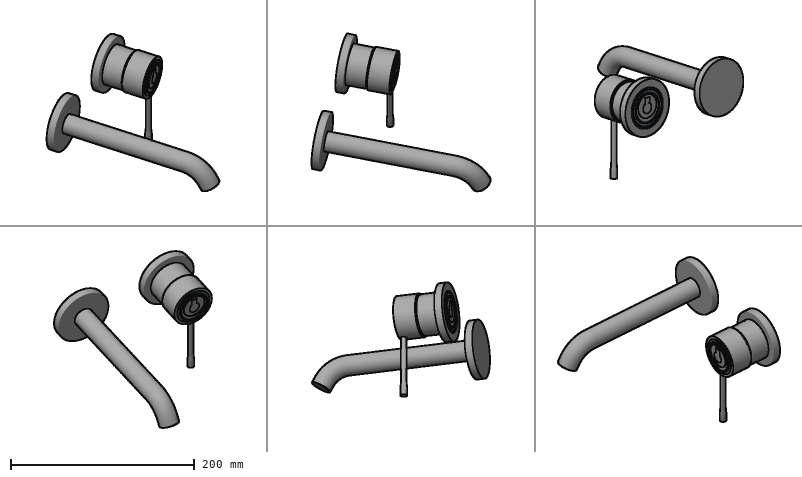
import cadquery as cq
import math


OVERALL_X = 192.5
OVERALL_Z = 124.5
SPOUT_SPACING = 110.0

FLANGE_DIAMETER = 65.0
FLANGE_THICKNESS = 8.9
FLANGE_EDGE = 0.5

SLEEVE_BACK_RADIUS = 23.3
SLEEVE_FRONT_RADIUS = 23.1
SLEEVE_BORE_RADIUS = 21.4
SLEEVE_NECK_RADIUS = 22.3
SLEEVE_TAPER_END = 30.5
SLEEVE_EDGE = 0.4
NECK_START = 32.0

CAP_RADIUS = 24.3
CAP_BACK = 33.3
CAP_FRONT = 58.3
CAP_TUBE_RADIUS = 20.6
CAP_TUBE_FRONT = 58.9

COLLAR_RADIUS = 17.7
COLLAR_FRONT = 60.0
CARTRIDGE_RADIUS = 16.2
CORE_RADIUS = 13.5
CORE_OFFSET = 2.1
CORE_FRONT = 60.8
STEM_RADIUS = 6.2
STEM_KEY_WIDTH = 6.5
STEM_KEY_TOP = 12.0

LEVER_X = 53.5
ROD_DIAMETER = 6.4
ROD_HOLE_DIAMETER = 7.0
TIP_DIAMETER = 7.7
ROD_TOP = -CAP_TUBE_RADIUS
FLARE_TOP = -73.5
FLARE_BOTTOM = -82.2
LEVER_BOTTOM = FLANGE_DIAMETER / 2 - OVERALL_Z

SPOUT_RADIUS = 11.4
BEND_RADIUS = 31.5
BEND_ANGLE = 60.0
OUTLET_LENGTH = 7.0
OUTLET_EDGE = 0.4


def cylinder(radius, start, end, height=0.0):
    """Cylinder along X from start to end, its axis raised to the given height."""
    return cq.Workplane("YZ", origin=(start, 0, height)).circle(radius).extrude(end - start)


def flange_disk():
    """Wall disk with a rounded front edge."""
    disk = cylinder(FLANGE_DIAMETER / 2, 0, FLANGE_THICKNESS)
    return disk.faces(">X").edges().fillet(FLANGE_EDGE)


def make_flange():
    """Handle flange, bored to take the back end of the tapered sleeve."""
    return flange_disk().cut(sleeve_envelope())


def sleeve_envelope():
    """Filled outline of the sleeve: taper, bevelled end and neck up to the cap."""
    return (
        cq.Workplane("XY")
        .moveTo(0, 0)
        .lineTo(0, SLEEVE_BACK_RADIUS)
        .lineTo(SLEEVE_TAPER_END, SLEEVE_FRONT_RADIUS)
        .lineTo(NECK_START, SLEEVE_FRONT_RADIUS - SLEEVE_EDGE)
        .lineTo(NECK_START, SLEEVE_NECK_RADIUS)
        .lineTo(CAP_BACK, SLEEVE_NECK_RADIUS)
        .lineTo(CAP_BACK, 0)
        .close()
        .revolve(360, (0, 0, 0), (1, 0, 0))
    )


def make_sleeve():
    """Tapered sleeve around the tube of the cap, with a narrow gap between them."""
    return sleeve_envelope().cut(cylinder(SLEEVE_BORE_RADIUS, 0, CAP_BACK))


def make_cap():
    """Handle cap with an inner tube that runs back to the wall and a lever hole below."""
    cap = cylinder(CAP_RADIUS, CAP_BACK, CAP_FRONT)
    cap = cap.union(cylinder(CAP_TUBE_RADIUS, 0, CAP_TUBE_FRONT))
    cap = cap.cut(cylinder(COLLAR_RADIUS, 0, CAP_TUBE_FRONT))
    lever_hole = (
        cq.Workplane("XY", origin=(LEVER_X, 0, ROD_TOP))
        .circle(ROD_HOLE_DIAMETER / 2)
        .extrude(-CAP_RADIUS)
    )
    return cap.cut(lever_hole)


def make_collar():
    """Ring between the cap and the cartridge."""
    return cylinder(COLLAR_RADIUS, 0, COLLAR_FRONT).cut(cylinder(CARTRIDGE_RADIUS, 0, COLLAR_FRONT))


def core_envelope():
    """Filled outline of the core, set off upward from the handle axis."""
    return cylinder(CORE_RADIUS, 0, CORE_FRONT, CORE_OFFSET)


def make_cartridge():
    """Cartridge shell with an offset bore for the core."""
    return cylinder(CARTRIDGE_RADIUS, 0, COLLAR_FRONT).cut(core_envelope())


def make_stem():
    """Keyhole-shaped stem: a round bar with a key on its upper side."""
    key = (
        cq.Workplane("YZ")
        .rect(STEM_KEY_WIDTH, STEM_KEY_TOP)
        .extrude(CORE_FRONT)
        .translate((0, 0, STEM_KEY_TOP / 2))
    )
    return cylinder(STEM_RADIUS, 0, CORE_FRONT).union(key)


def make_core(stem):
    """Offset core with a passage that fits the stem."""
    return core_envelope().cut(stem)


def make_lever():
    """Pin lever hanging from the cap: rod, flare and thicker tip."""
    rod_radius = ROD_DIAMETER / 2
    tip_radius = TIP_DIAMETER / 2
    return (
        cq.Workplane("XZ")
        .moveTo(0, ROD_TOP)
        .lineTo(rod_radius, ROD_TOP)
        .lineTo(rod_radius, FLARE_TOP)
        .tangentArcPoint((tip_radius, FLARE_BOTTOM), relative=False)
        .lineTo(tip_radius, LEVER_BOTTOM)
        .lineTo(0, LEVER_BOTTOM)
        .close()
        .revolve(360, (0, 0, 0), (0, 1, 0))
        .translate((LEVER_X, 0, 0))
    )


def make_spout():
    """Wall disk and round arm that bends down to the bevelled outlet."""
    angle = math.radians(BEND_ANGLE)
    outer_reach = (BEND_RADIUS + SPOUT_RADIUS) * math.sin(angle) + OUTLET_LENGTH * math.cos(angle)
    bend_start = OVERALL_X - outer_reach
    arm = cylinder(SPOUT_RADIUS, 0, bend_start)
    bend = (
        cq.Workplane("YZ", origin=(bend_start, 0, 0))
        .circle(SPOUT_RADIUS)
        .revolve(BEND_ANGLE, (0, -BEND_RADIUS, 0), (1, -BEND_RADIUS, 0))
    )
    outlet = (
        cylinder(SPOUT_RADIUS, 0, OUTLET_LENGTH + OUTLET_EDGE)
        .faces(">X")
        .chamfer(OUTLET_EDGE)
        .rotate((0, 0, 0), (0, 1, 0), BEND_ANGLE)
        .translate((
            bend_start + BEND_RADIUS * math.sin(angle),
            0,
            -BEND_RADIUS * (1 - math.cos(angle)),
        ))
    )
    spout = flange_disk().union(arm).union(bend).union(outlet)
    return spout.translate((0, -SPOUT_SPACING, 0))


flange = make_flange()
sleeve = make_sleeve()
cap = make_cap()
collar = make_collar()
cartridge = make_cartridge()
stem = make_stem()
core = make_core(stem)
lever = make_lever()
spout = make_spout()

result = cq.Compound.makeCompound([
    flange.val(),
    sleeve.val(),
    cap.val(),
    collar.val(),
    cartridge.val(),
    core.val(),
    stem.val(),
    lever.val(),
    spout.val(),
])